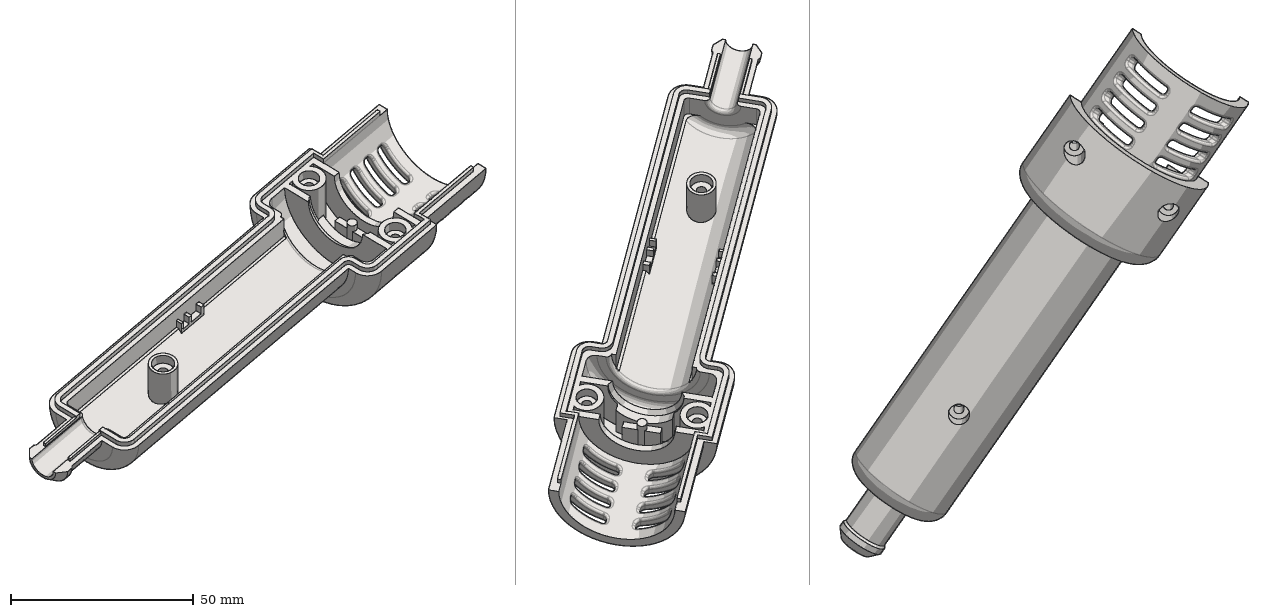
import cadquery as cq
import math


TOTAL_LENGTH = 166.24
WALL = 4.572
LIP_HEIGHT = 1.524
LIP_STEP = WALL / 3

BODY_RADIUS = 22.86
COLLAR_RADIUS = 19.18
TUBE_RADIUS = 15.24
NECK_RADIUS = 6.35
BARB_RADIUS = 6.86
TIP_RADIUS = 4.70

BODY_START = 25.40
PARTITION = 2.03
COLLAR_SHOULDER = 1.78
COLLAR_BORE_END = BODY_START + COLLAR_SHOULDER
SCREW_CHAMBER_START = COLLAR_BORE_END + PARTITION
SCREW_CHAMBER_LENGTH = 10.16
SCREW_CHAMBER_END = SCREW_CHAMBER_START + SCREW_CHAMBER_LENGTH
FRONT_CHAMBER_LENGTH = 8.0
FRONT_CHAMBER_START = SCREW_CHAMBER_END + PARTITION
FRONT_CHAMBER_END = FRONT_CHAMBER_START + FRONT_CHAMBER_LENGTH
BODY_END = FRONT_CHAMBER_END + WALL
TUBE_END = 148.50
TUBE_BORE_END = TUBE_END - WALL
BARB_START = 161.20
BARB_FULL = 161.90
BARB_CHAMFER_START = 163.70

COLLAR_WALL = 2.92
COLLAR_BORE = COLLAR_RADIUS - COLLAR_WALL
CHAMBER_RADIUS = BODY_RADIUS - WALL
THROAT_RADIUS = 10.67
FRONT_THROAT_RADIUS = 9.70
THROAT_STEP = 0.60
TUBE_BORE = 11.94
NECK_BORE = 3.81
OUTER_ROUND = 5.08
INNER_ROUND = OUTER_ROUND / 2
ENTRY_ROUND = 1.27

CHANNEL_HALF_WIDTH = THROAT_RADIUS
CHANNEL_DEPTH = 6.86

COLLAR_LIP_START = 3.05
THIN_LIP = 1.02
THIN_LIP_SETBACK = 0.76
THIN_LIP_STEP = BODY_START + THIN_LIP_SETBACK
NECK_LIP_INNER = 4.06
NECK_LIP_OUTER = NECK_BORE + THIN_LIP
NECK_LIP_END = 160.20
NECK_LIP_HEIGHT = 1.02

SCREW_HOLE = 2.79
SCREW_HEAD = 5.84
CORNER_POST_X = 15.49
CORNER_POST_STATION = (SCREW_CHAMBER_START + SCREW_CHAMBER_END) / 2
CORNER_POST_DIAMETER = 9.40
CORNER_RECESS = 5.84
TUBE_POST_STATION = 114.90
TUBE_POST_DIAMETER = 8.13
TUBE_RECESS = 6.35
RECESS_DEPTH = 3.05
HEAD_SEAT_DEPTH = 10.0

VENT_COUNT = 4
VENT_FIRST = 5.60
VENT_PITCH = 5.84
VENT_WIDTH = 2.79
VENT_INNER_X = 4.20
VENT_TOP = -9.15
VENT_CORNER = 1.0
VENT_ROUND = 0.76
RIM_MARGIN = 0.05

RIB_HALF_WIDTH = 5.40
RIB_TOP = -9.30
PIN_DIAMETER = 2.80
PIN_TOP = -7.10
SADDLE_HALF_WIDTH = 7.90
SADDLE_LENGTH = 2.20

CLIP_START = 87.0
CLIP_END = 96.6
CLIP_INNER_X = 8.80
CLIP_TOP = -4.30
CLIP_FLOOR = -CHANNEL_DEPTH
CLIP_ROOT = CLIP_FLOOR - 2.0
CLIP_TEETH = ((87.0, 88.2), (92.3, 93.3), (95.8, 96.6))


def outline(corners):
    """Closed wire through (x, station, radius) corners, rounding those with a radius."""
    count = len(corners)
    path = None
    for index, (x, station, radius) in enumerate(corners):
        corner = cq.Vector(x, -station)
        before = corners[index - 1]
        after = corners[(index + 1) % count]
        to_before = (cq.Vector(before[0], -before[1]) - corner).normalized()
        to_after = (cq.Vector(after[0], -after[1]) - corner).normalized()
        half_angle = to_before.getAngle(to_after) / 2
        tangent = radius / math.tan(half_angle)
        start = corner + to_before * tangent
        if path is None:
            path = cq.Workplane("XY").moveTo(start.x, start.y)
        else:
            path = path.lineTo(start.x, start.y)
        if radius > 0:
            bisector = (to_before + to_after).normalized()
            middle = corner + bisector * (radius / math.sin(half_angle) - radius)
            end = corner + to_after * tangent
            path = path.threePointArc((middle.x, middle.y), (end.x, end.y))
    return path.close()


def turned(corners):
    """Full solid of revolution about the handle axis."""
    return outline(corners).revolve(360, (0, 0, 0), (0, 1, 0))


def turned_bore(radius, start, end):
    return turned([(0, start, 0), (radius, start, 0), (radius, end, 0), (0, end, 0)])


def block(x_min, x_max, start, end, bottom, top):
    return cq.Workplane("XY").box(
        x_max - x_min, end - start, top - bottom, centered=False
    ).translate((x_min, -end, bottom))


def post(x, station, diameter, bottom, top):
    return cq.Workplane("XY", origin=(x, -station, bottom)).circle(diameter / 2).extrude(top - bottom)


def lower_half(solid):
    return solid.intersect(
        block(-BODY_RADIUS, BODY_RADIUS, 0, TOTAL_LENGTH, -BODY_RADIUS, 0)
    )


def outer_shell():
    return turned([
        (0, 0, 0),
        (COLLAR_RADIUS, 0, 0),
        (COLLAR_RADIUS, BODY_START, 0),
        (BODY_RADIUS, BODY_START, 0),
        (BODY_RADIUS, BODY_END, OUTER_ROUND),
        (TUBE_RADIUS, BODY_END, 0),
        (TUBE_RADIUS, TUBE_END, OUTER_ROUND),
        (NECK_RADIUS, TUBE_END, 0),
        (NECK_RADIUS, BARB_START, 0),
        (BARB_RADIUS, BARB_FULL, 0),
        (BARB_RADIUS, BARB_CHAMFER_START, 0),
        (TIP_RADIUS, TOTAL_LENGTH, 0),
        (0, TOTAL_LENGTH, 0),
    ])


def cavity():
    return turned([
        (0, 0, 0),
        (COLLAR_BORE, 0, 0),
        (COLLAR_BORE, COLLAR_BORE_END, 0),
        (THROAT_RADIUS, COLLAR_BORE_END, 0),
        (THROAT_RADIUS, SCREW_CHAMBER_START, 0),
        (CHAMBER_RADIUS, SCREW_CHAMBER_START, 0),
        (CHAMBER_RADIUS, SCREW_CHAMBER_END, 0),
        (THROAT_RADIUS, SCREW_CHAMBER_END, 0),
        (THROAT_RADIUS, SCREW_CHAMBER_END + THROAT_STEP, 0),
        (FRONT_THROAT_RADIUS, FRONT_CHAMBER_START, 0),
        (CHAMBER_RADIUS, FRONT_CHAMBER_START, 0),
        (CHAMBER_RADIUS, FRONT_CHAMBER_END, INNER_ROUND),
        (TUBE_BORE, FRONT_CHAMBER_END, ENTRY_ROUND),
        (TUBE_BORE, TUBE_BORE_END, INNER_ROUND),
        (NECK_BORE, TUBE_BORE_END, ENTRY_ROUND),
        (NECK_BORE, TOTAL_LENGTH, 0),
        (0, TOTAL_LENGTH, 0),
    ])


def bore_shoulders():
    """Fills the sides of the tube bore above the ledges; the channel is then cut through."""
    ring = turned_bore(TUBE_RADIUS - LIP_STEP, FRONT_CHAMBER_END + ENTRY_ROUND, TUBE_BORE_END)
    above_ledges = block(-TUBE_RADIUS, TUBE_RADIUS, FRONT_CHAMBER_END, TUBE_BORE_END, -CHANNEL_DEPTH, 0)
    return ring.intersect(above_ledges)


def channel():
    """Straight-walled opening above the ledges of the tube bore."""
    opening = block(-CHANNEL_HALF_WIDTH, CHANNEL_HALF_WIDTH, FRONT_CHAMBER_END + ENTRY_ROUND,
                    TUBE_BORE_END, -CHANNEL_DEPTH, 0)
    return opening.edges("|Z and <Y").fillet(ENTRY_ROUND)


def lip():
    """Tongue around the parting face, on both sides of the handle."""
    body_out = BODY_RADIUS - LIP_STEP
    body_in = body_out - LIP_STEP
    tube_out = TUBE_RADIUS - LIP_STEP
    tube_in = tube_out - LIP_STEP
    collar_out = COLLAR_BORE + THIN_LIP
    side = outline([
        (COLLAR_BORE, COLLAR_LIP_START, 0),
        (collar_out, COLLAR_LIP_START, 0),
        (collar_out, THIN_LIP_STEP, 0),
        (body_out, THIN_LIP_STEP, 0),
        (body_out, BODY_END - LIP_STEP, OUTER_ROUND - LIP_STEP),
        (tube_out, BODY_END - LIP_STEP, LIP_STEP),
        (tube_out, TUBE_END - LIP_STEP, OUTER_ROUND - LIP_STEP),
        (NECK_LIP_OUTER, TUBE_END - LIP_STEP, 0),
        (NECK_LIP_INNER, TUBE_END - LIP_STEP, 0),
        (NECK_LIP_INNER, TUBE_END - 2 * LIP_STEP, 0),
        (tube_in, TUBE_END - 2 * LIP_STEP, OUTER_ROUND - 2 * LIP_STEP),
        (tube_in, BODY_END - 2 * LIP_STEP, 2 * LIP_STEP),
        (body_in, BODY_END - 2 * LIP_STEP, OUTER_ROUND - 2 * LIP_STEP),
        (body_in, COLLAR_BORE_END, 0),
        (COLLAR_BORE, COLLAR_BORE_END, 0),
    ]).extrude(LIP_HEIGHT)
    neck = block(NECK_LIP_INNER, NECK_LIP_OUTER, TUBE_END - 2 * LIP_STEP, NECK_LIP_END, 0, NECK_LIP_HEIGHT)
    side = side.union(neck)
    return side.union(side.mirror("YZ"))


def vents():
    """Round-cornered slots through the lower quarters of the collar, four on each side."""
    slots = []
    for index in range(VENT_COUNT):
        station = VENT_FIRST + index * VENT_PITCH
        slot = block(VENT_INNER_X, BODY_RADIUS, station - VENT_WIDTH / 2, station + VENT_WIDTH / 2,
                     -BODY_RADIUS, VENT_TOP)
        slot = slot.edges("(|Z and <X) or (|X and >Z)").fillet(VENT_CORNER)
        slots += [slot, slot.mirror("YZ")]
    return slots


def chamber_floor_details():
    """Locating rib with its pin, and the curved saddle against the front partition."""
    root = -CHAMBER_RADIUS - LIP_STEP
    half_rib = PARTITION / 2
    rib = block(-RIB_HALF_WIDTH, RIB_HALF_WIDTH, CORNER_POST_STATION - half_rib,
                CORNER_POST_STATION + half_rib, root, RIB_TOP)
    pin = post(0, CORNER_POST_STATION, PIN_DIAMETER, root, PIN_TOP)
    saddle_end = SCREW_CHAMBER_END + THROAT_STEP
    saddle = block(-SADDLE_HALF_WIDTH, SADDLE_HALF_WIDTH, SCREW_CHAMBER_END - SADDLE_LENGTH,
                   saddle_end, -CHAMBER_RADIUS, 0)
    saddle = saddle.cut(turned_bore(THROAT_RADIUS, 0, BODY_END))
    return rib.union(pin).union(saddle)


def clips():
    """Toothed blocks standing on the ledges, one on each wall of the tube."""
    clip = block(CLIP_INNER_X, CHANNEL_HALF_WIDTH, CLIP_START, CLIP_END, CLIP_ROOT, CLIP_FLOOR)
    for start, end in CLIP_TEETH:
        clip = clip.union(block(CLIP_INNER_X, CHANNEL_HALF_WIDTH, start, end, CLIP_ROOT, CLIP_TOP))
    return clip.union(clip.mirror("YZ"))


def vented_shell():
    """Half shell with the vents cut and their rims rounded inside and outside."""
    shell = lower_half(outer_shell().cut(cavity()))
    for slot in vents():
        shell = shell.cut(slot)
    for near, far in ((-COLLAR_RADIUS, -VENT_ROUND), (VENT_ROUND, COLLAR_RADIUS)):
        rims = cq.selectors.BoxSelector(
            (near, -BODY_START + RIM_MARGIN, -COLLAR_RADIUS),
            (far, -RIM_MARGIN, -VENT_ROUND),
        )
        shell = shell.edges(rims).fillet(VENT_ROUND)
    return shell


def add_screw_posts(part):
    """Screw posts with a through hole, a recess in the top and a head pocket from outside."""
    envelope = turned_bore(BODY_RADIUS - LIP_STEP, 0, BODY_END)
    envelope = envelope.union(turned_bore(TUBE_RADIUS - LIP_STEP, 0, TUBE_END))
    places = [
        (-CORNER_POST_X, CORNER_POST_STATION, CORNER_POST_DIAMETER, CORNER_RECESS),
        (CORNER_POST_X, CORNER_POST_STATION, CORNER_POST_DIAMETER, CORNER_RECESS),
        (0, TUBE_POST_STATION, TUBE_POST_DIAMETER, TUBE_RECESS),
    ]
    for x, station, diameter, recess in places:
        part = part.union(post(x, station, diameter, -BODY_RADIUS, 0).intersect(envelope))
        part = part.cut(post(x, station, SCREW_HOLE, -BODY_RADIUS, 0))
        part = part.cut(post(x, station, recess, -RECESS_DEPTH, 0))
        part = part.cut(post(x, station, SCREW_HEAD, -BODY_RADIUS, -HEAD_SEAT_DEPTH))
    return part


result = vented_shell().union(bore_shoulders()).cut(channel())
result = result.union(chamber_floor_details())
result = add_screw_posts(result)
result = result.union(clips()).union(lip())